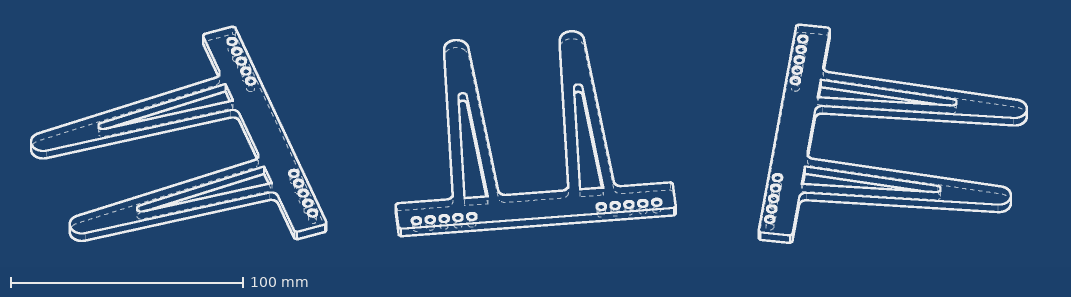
import cadquery as cq
import math

THICKNESS = 5.0
TOTAL_LENGTH = 105.0
BAR_LENGTH = 120.0
BAR_WIDTH = 14.75
BAR_CORNER_CHAMFER = 1.0

LEG_SPACING = 50.0
LEG_ROOT_WIDTH = 20.0
LEG_END_WIDTH = 10.0
LEG_LENGTH = TOTAL_LENGTH - BAR_WIDTH
LEG_ROOT_FILLET = 3.0

LEG_WALL = 5.0
WINDOW_ROOT_WIDTH = LEG_ROOT_WIDTH - 2 * LEG_WALL
WINDOW_LENGTH = 59.7

HOLE_DIAMETER = 3.5
HOLE_CHAMFER = 0.3
HOLE_CHAMFER_ANGLE = 90.0
HOLES_PER_ROW = 5
HOLE_PITCH = 6.0
HOLE_END_MARGIN = 8.0
HOLE_EDGE_MARGIN = 3.95

LEG_CENTERS = (-LEG_SPACING / 2, LEG_SPACING / 2)
TAPER_ANGLE = math.atan((LEG_ROOT_WIDTH - LEG_END_WIDTH) / 2 / LEG_LENGTH)


def rounded_taper(center_x, root_width, length):
    """Prism narrowing from Y = 0 to a round tip, tangent to both sides, at Y = -length."""
    sin_taper = math.sin(TAPER_ANGLE)
    cos_taper = math.cos(TAPER_ANGLE)
    half_root = root_width / 2
    tip_radius = (half_root * cos_taper - length * sin_taper) / (1 - sin_taper)
    tangent_x = tip_radius * cos_taper
    tangent_y = -length + tip_radius - tip_radius * sin_taper
    return (
        cq.Workplane("XY")
        .moveTo(center_x - half_root, 0)
        .lineTo(center_x - tangent_x, tangent_y)
        .threePointArc((center_x, -length), (center_x + tangent_x, tangent_y))
        .lineTo(center_x + half_root, 0)
        .close()
        .extrude(THICKNESS)
    )


def crossbar():
    return (
        cq.Workplane("XY")
        .center(0, BAR_WIDTH / 2)
        .rect(BAR_LENGTH, BAR_WIDTH)
        .extrude(THICKNESS)
        .edges("|Z")
        .chamfer(BAR_CORNER_CHAMFER)
    )


def fillet_leg_roots(body):
    """Round the inside corners where the leg sides meet the crossbar."""
    for center_x in LEG_CENTERS:
        for side in (-1, 1):
            corner = (center_x + side * LEG_ROOT_WIDTH / 2, 0, THICKNESS / 2)
            body = body.edges(cq.selectors.NearestToPointSelector(corner)).fillet(LEG_ROOT_FILLET)
    return body


def hole_centers():
    outermost_x = BAR_LENGTH / 2 - HOLE_END_MARGIN
    hole_y = BAR_WIDTH - HOLE_EDGE_MARGIN
    return [
        (side * (outermost_x - index * HOLE_PITCH), hole_y)
        for side in (-1, 1)
        for index in range(HOLES_PER_ROW)
    ]


def cut_holes(body):
    """Drill the through holes and chamfer their upper rims."""
    return (
        body.faces(">Z")
        .workplane(origin=(0, 0, THICKNESS))
        .pushPoints(hole_centers())
        .cskHole(HOLE_DIAMETER, HOLE_DIAMETER + 2 * HOLE_CHAMFER, HOLE_CHAMFER_ANGLE)
    )


plate = crossbar()
for leg_x in LEG_CENTERS:
    plate = plate.union(rounded_taper(leg_x, LEG_ROOT_WIDTH, LEG_LENGTH))
plate = fillet_leg_roots(plate)
for leg_x in LEG_CENTERS:
    plate = plate.cut(rounded_taper(leg_x, WINDOW_ROOT_WIDTH, WINDOW_LENGTH))

result = cut_holes(plate)